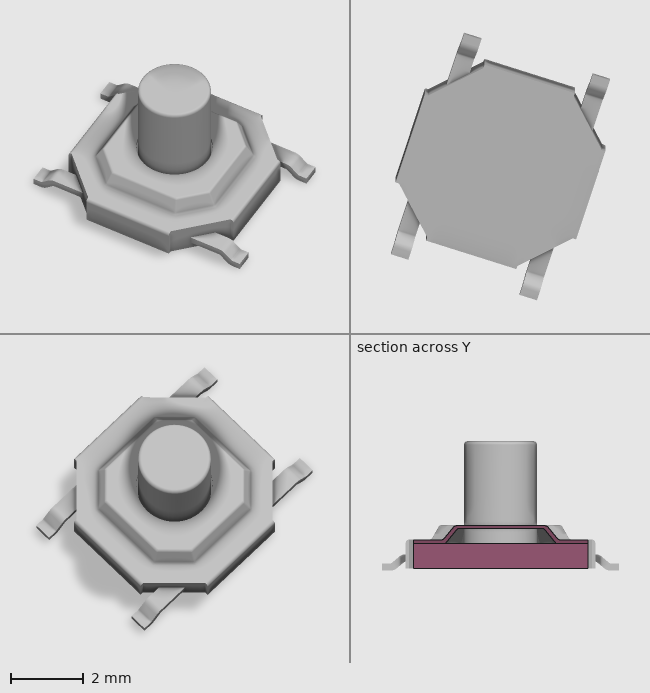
import cadquery as cq
import math

COVER_TOP = 0.8
EMBOSS_HEIGHT = 0.395
EMBOSS_TOP = COVER_TOP + EMBOSS_HEIGHT
BUTTON_TOP = 3.5

COVER_SIZE = 5.2
SHEET = 0.1
BEND_RADIUS = 0.1
FLANGE_WIDTH = 2.6
EMBOSS_FOOT_SIZE = 3.795
EMBOSS_FOOT_STRAIGHT = 2.2
EMBOSS_DRAFT = 30.0

BASE_SIZE = COVER_SIZE - 2 * SHEET
BASE_TOP = COVER_TOP - SHEET

BUTTON_DIAMETER = 2.0
BUTTON_HOLE_DIAMETER = 2.1
BUTTON_EDGE_RADIUS = 0.1

LEAD_TIP = 3.25
LEAD_ROOT = 1.3
LEAD_WIDTH = 0.5
LEAD_SPACING = 3.705
LEAD_THICKNESS = 0.2
LEAD_TOP = 0.395
FOOT_BOTTOM = -0.05
LEAD_BEND_START = COVER_SIZE / 2
LEAD_INNER_RADIUS = 0.07
LEAD_OUTER_RADIUS = LEAD_INNER_RADIUS + LEAD_THICKNESS
LEAD_BEND_ANGLE = 40.0


def octagon(size, straight, z):
    """Octagon outline at height z; straight is the length of its X and Y sides."""
    a = size / 2
    b = straight / 2
    points = [(a, -b), (a, b), (b, a), (-b, a), (-a, b), (-a, -b), (-b, -a), (b, -a)]
    return cq.Workplane("XY").workplane(offset=z).polyline(points).close()


def lead():
    """Lead on the +X side, centred on Y = 0: level root, sloping leg and level foot."""
    angle = math.radians(LEAD_BEND_ANGLE)
    foot_top = FOOT_BOTTOM + LEAD_THICKNESS
    radii = LEAD_INNER_RADIUS + LEAD_OUTER_RADIUS
    leg_length = (LEAD_TOP - foot_top - radii * (1 - math.cos(angle))) / math.sin(angle)
    foot_start = LEAD_BEND_START + radii * math.sin(angle) + leg_length * math.cos(angle)
    upper_centre_z = LEAD_TOP - LEAD_OUTER_RADIUS
    lower_centre_z = foot_top + LEAD_INNER_RADIUS

    def upper(radius, turn):
        return (LEAD_BEND_START + radius * math.sin(turn), upper_centre_z + radius * math.cos(turn))

    def lower(radius, turn):
        return (foot_start - radius * math.sin(turn), lower_centre_z - radius * math.cos(turn))

    profile = (
        cq.Workplane("XZ")
        .moveTo(LEAD_ROOT, LEAD_TOP)
        .lineTo(*upper(LEAD_OUTER_RADIUS, 0))
        .threePointArc(upper(LEAD_OUTER_RADIUS, angle / 2), upper(LEAD_OUTER_RADIUS, angle))
        .lineTo(*lower(LEAD_INNER_RADIUS, angle))
        .threePointArc(lower(LEAD_INNER_RADIUS, angle / 2), lower(LEAD_INNER_RADIUS, 0))
        .lineTo(LEAD_TIP, foot_top)
        .lineTo(LEAD_TIP, FOOT_BOTTOM)
        .lineTo(*lower(LEAD_OUTER_RADIUS, 0))
        .threePointArc(lower(LEAD_OUTER_RADIUS, angle / 2), lower(LEAD_OUTER_RADIUS, angle))
        .lineTo(*upper(LEAD_INNER_RADIUS, angle))
        .threePointArc(upper(LEAD_INNER_RADIUS, angle / 2), upper(LEAD_INNER_RADIUS, 0))
        .lineTo(LEAD_ROOT, upper_centre_z + LEAD_INNER_RADIUS)
        .close()
    )
    return profile.extrude(LEAD_WIDTH / 2, both=True)


def make_base():
    """Octagonal base with the four leads moulded into its chamfered corners."""
    base = octagon(BASE_SIZE, FLANGE_WIDTH, 0).extrude(BASE_TOP)
    for turn in (0, 180):
        for y in (-LEAD_SPACING / 2, LEAD_SPACING / 2):
            base = base.union(lead().translate((0, y, 0)).rotate((0, 0, 0), (0, 0, 1), turn))
    return base


def cover_blank():
    """Cover with its four side flanges, before the top is embossed."""
    blank = octagon(BASE_SIZE, FLANGE_WIDTH, 0).extrude(COVER_TOP)
    for length_x, length_y, axis in (
        (COVER_SIZE, FLANGE_WIDTH, "|Y"),
        (FLANGE_WIDTH, COVER_SIZE, "|X"),
    ):
        strip = cq.Workplane("XY").box(length_x, length_y, COVER_TOP, centered=(True, True, False))
        blank = blank.union(strip.faces(">Z").edges(axis).fillet(BEND_RADIUS))
    return blank.cut(octagon(BASE_SIZE, FLANGE_WIDTH, 0).extrude(BASE_TOP))


def emboss_cavity():
    """Hollow under the emboss that leaves the sheet one thickness all over."""
    draft = math.radians(EMBOSS_DRAFT)
    half_corner_turn = math.radians(45) / 2
    inset = SHEET * (1 / math.cos(draft) - math.tan(draft))
    straight = EMBOSS_FOOT_STRAIGHT - 2 * inset * math.tan(half_corner_turn)
    cavity = octagon(EMBOSS_FOOT_SIZE - 2 * inset, straight, BASE_TOP)
    return cavity.extrude(EMBOSS_HEIGHT, taper=EMBOSS_DRAFT)


def make_cover():
    """Sheet metal cover with a drafted octagonal emboss and the button hole."""
    emboss = octagon(EMBOSS_FOOT_SIZE, EMBOSS_FOOT_STRAIGHT, COVER_TOP).extrude(
        EMBOSS_HEIGHT, taper=EMBOSS_DRAFT
    )
    emboss = emboss.edges("not #Z").fillet(BEND_RADIUS).faces(">Z").edges().fillet(BEND_RADIUS)
    cover = cover_blank().union(emboss)
    foot_reach = EMBOSS_FOOT_SIZE / 2 + BEND_RADIUS / 2
    emboss_foot = cq.selectors.BoxSelector(
        (-foot_reach, -foot_reach, COVER_TOP - SHEET / 2),
        (foot_reach, foot_reach, COVER_TOP + SHEET / 4),
        boundingbox=True,
    )
    cover = cover.edges(emboss_foot).fillet(BEND_RADIUS)
    hole = cq.Workplane("XY").circle(BUTTON_HOLE_DIAMETER / 2).extrude(EMBOSS_TOP)
    return cover.cut(emboss_cavity()).cut(hole)


def make_button():
    """Round button standing on the base, with a rounded top edge."""
    button = cq.Workplane("XY").workplane(offset=BASE_TOP).circle(BUTTON_DIAMETER / 2)
    button = button.extrude(BUTTON_TOP - BASE_TOP)
    return button.faces(">Z").edges().fillet(BUTTON_EDGE_RADIUS)


base = make_base()
cover = make_cover()
button = make_button()

result = cq.Compound.makeCompound([base.solids().val(), cover.solids().val(), button.solids().val()])